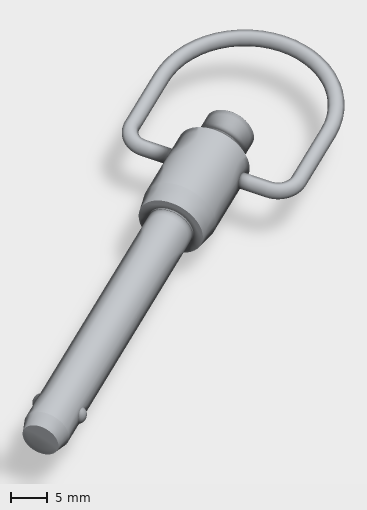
import cadquery as cq
import math

TOTAL_LENGTH = 80.75

SHANK_RADIUS = 3.3
TIP_RADIUS = 2.7
TIP_TAPER_LENGTH = 2.0

COLLAR_RADIUS = 5.3
COLLAR_FRONT = 42.9
COLLAR_BACK = 57.25
COLLAR_FRONT_RADIUS = 4.8
COLLAR_TAPER_LENGTH = 2.9
COLLAR_CHAMFER = 0.25

STEP_RADIUS = 3.4
STEP_LENGTH = 0.25

NECK_BASE_RADIUS = 4.45
NECK_TOP_RADIUS = 4.0
NECK_BACK = 58.3
BUTTON_RADIUS = 3.55
BUTTON_BACK = 62.7
BUTTON_CHAMFER = 0.25

BALL_RADIUS = 1.3
BALL_Y = 6.3
BALL_SPAN = 7.8

RING_WIDTH = 27.0
WIRE_RADIUS = 1.1
RING_CORNER_RADIUS = 3.1
CROSSBAR_Y = 54.5

ring_half_width = RING_WIDTH / 2 - WIRE_RADIUS
arch_top_y = TOTAL_LENGTH - WIRE_RADIUS
arch_start_y = arch_top_y - ring_half_width
corner_end_y = CROSSBAR_Y + RING_CORNER_RADIUS
corner_start_x = ring_half_width - RING_CORNER_RADIUS


def make_pin_body():
    """Revolve the shank, collar, neck and button about the Y axis."""
    half_profile = [
        (0, 0),
        (TIP_RADIUS, 0),
        (SHANK_RADIUS, TIP_TAPER_LENGTH),
        (SHANK_RADIUS, COLLAR_FRONT - STEP_LENGTH),
        (STEP_RADIUS, COLLAR_FRONT - STEP_LENGTH),
        (STEP_RADIUS, COLLAR_FRONT),
        (COLLAR_FRONT_RADIUS, COLLAR_FRONT),
        (COLLAR_RADIUS, COLLAR_FRONT + COLLAR_TAPER_LENGTH),
        (COLLAR_RADIUS, COLLAR_BACK - COLLAR_CHAMFER),
        (COLLAR_RADIUS - COLLAR_CHAMFER, COLLAR_BACK),
        (NECK_BASE_RADIUS, COLLAR_BACK),
        (NECK_TOP_RADIUS, NECK_BACK),
        (BUTTON_RADIUS, NECK_BACK),
        (BUTTON_RADIUS, BUTTON_BACK - BUTTON_CHAMFER),
        (BUTTON_RADIUS - BUTTON_CHAMFER, BUTTON_BACK),
        (0, BUTTON_BACK),
    ]
    return cq.Workplane("XY").polyline(half_profile).close().revolve(360, (0, 0), (0, 1))


def make_ball(side):
    """Locking ball on the +X (side = 1) or -X (side = -1) side of the shank."""
    ball_x = side * (BALL_SPAN / 2 - BALL_RADIUS)
    return cq.Workplane("XY").sphere(BALL_RADIUS).translate((ball_x, BALL_Y, 0))


def make_ring():
    """Sweep the round wire from the collar axis around the arch and back."""
    corner_mid_offset = RING_CORNER_RADIUS * math.sqrt(0.5)
    corner_mid_x = corner_start_x + corner_mid_offset
    corner_mid_y = corner_end_y - corner_mid_offset
    path = (
        cq.Workplane("XY")
        .moveTo(0, CROSSBAR_Y)
        .lineTo(corner_start_x, CROSSBAR_Y)
        .threePointArc((corner_mid_x, corner_mid_y), (ring_half_width, corner_end_y))
        .lineTo(ring_half_width, arch_start_y)
        .threePointArc((0, arch_top_y), (-ring_half_width, arch_start_y))
        .lineTo(-ring_half_width, corner_end_y)
        .threePointArc((-corner_mid_x, corner_mid_y), (-corner_start_x, CROSSBAR_Y))
        .lineTo(0, CROSSBAR_Y)
    )
    return cq.Workplane("YZ").center(CROSSBAR_Y, 0).circle(WIRE_RADIUS).sweep(path)


result = make_pin_body().union(make_ring())
for ball_side in (-1, 1):
    result = result.union(make_ball(ball_side))